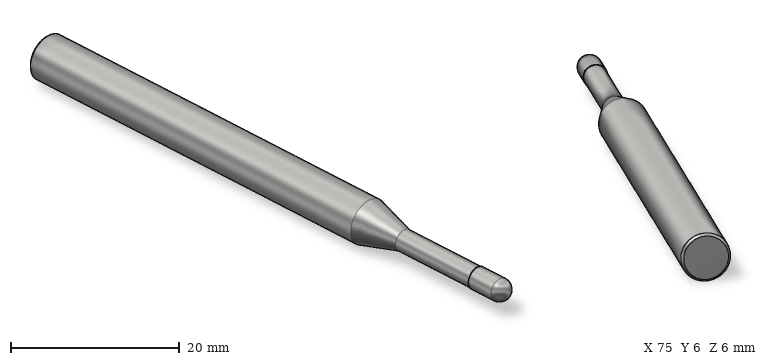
import cadquery as cq

total_length = 75.0
shank_diameter = 6.0
shank_chamfer = 0.3
shank_length = 52.2
cone_length = 5.8
neck_diameter = 2.85
head_diameter = 3.0
head_length = 5.2

shank_radius = shank_diameter / 2
neck_radius = neck_diameter / 2
ball_radius = head_diameter / 2
neck_start = shank_length + cone_length
head_start = total_length - head_length
ball_center = total_length - ball_radius
diagonal = ball_radius * 0.5**0.5

profile = (
    cq.Workplane("XY")
    .lineTo(0, shank_radius - shank_chamfer)
    .lineTo(shank_chamfer, shank_radius)
    .lineTo(shank_length, shank_radius)
    .lineTo(neck_start, neck_radius)
    .lineTo(head_start, neck_radius)
    .lineTo(head_start, ball_radius)
    .lineTo(ball_center, ball_radius)
    .threePointArc((ball_center + diagonal, diagonal), (total_length, 0))
    .close()
)

result = profile.revolve(360, (0, 0, 0), (1, 0, 0))